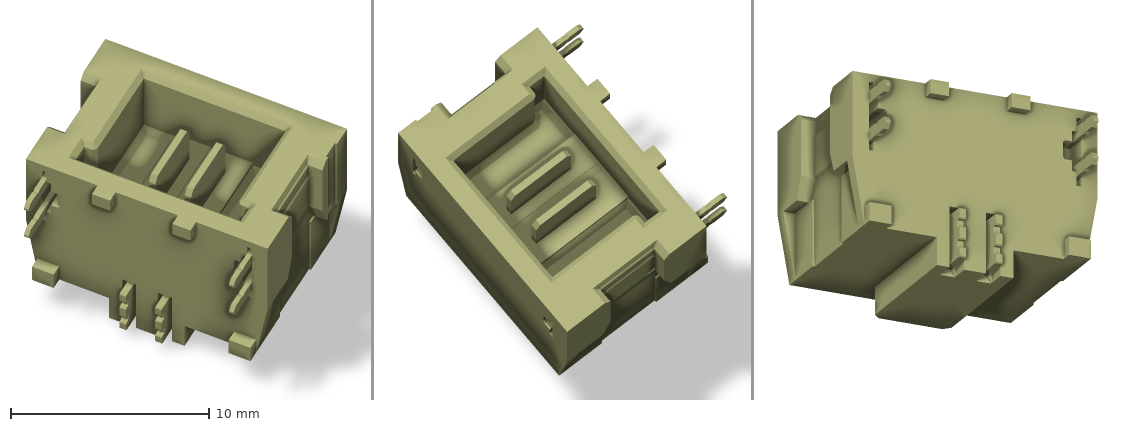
import cadquery as cq

width = 13.6
depth = 9.0
height = 9.75
foot_height = 1.51
foot_width = 4.25
foot_depth = 7.78
foot_corner = 0.35

ledge_z = 5.14
flank_x = 6.15
rib_thickness = 0.67

channel_x = 6.04
notch_x = 6.0
notch_front = 2.73
notch_rear = 6.22
notch_chamfer = 0.35
notch_rim_x = 5.81
rim_foot_rise = 0.08
notch_flare = 0.46
notch_flare_z = 6.31
pad_x = 6.07
pad_bevel_length = 0.65
pad_bottom = 6.42
pad_top = 8.51
pad_slope = 0.16
ramp_top_x = 5.95
ramp_bottom = 5.36
key_depth = 0.12
key_front = 6.85
key_rear = 7.86

cavity_chamfer = 0.29
cavity_front = 1.02
cavity_rear = 7.98
cavity_half = 4.27
wing_half = 4.92
wing_rear = 2.53
wing_corner = 0.26
floor_z = 5.95
pedestal_half = 2.15
pedestal_rise = 0.19
pocket_drop = 0.3
pocket_ledge = 0.1
groove_width = 0.46
groove_depth = 0.05

block_length = 0.64
upper_block_x = 2.26
upper_block_width = 1.02
upper_block_height = 0.76
lower_block_width = 1.22
lower_block_height = 1.0

contact_x = 1.0
contact_thickness = 0.37
contact_bottom = 0.37
tail_top = 3.03
tail_length = 0.71
blade_front = 2.62
blade_rear = 6.5
blade_top = 8.53
blade_tip_run = 0.27
blade_tip_drop = 0.37
tooth_gap = 0.41
tooth_gap_depth = 0.3
tooth_pitch = 1.12
upper_gap_top = 2.45
tooth_chamfer = 0.07
recess_width = 0.8
recess_top = 3.3
recess_depth = 1.0
funnel_depth = 0.14

prong_outer_x = 5.9
prong_inner_x = 5.63
prong_mid_z = 7.45
prong_spacing = 2.03
prong_height = 0.65
prong_length = 2.04
prong_tip_length = 0.25
prong_tip_height = 0.12
waist_start = 0.79
waist_end = 1.14
waist_depth = 0.08
slot_height = 3.7
slot_depth = 1.36

passage_inner_x = 5.39
passage_height = 2.19
bulge_inner_x = 4.87
bulge_height = 1.03
bulge_chamfer = 0.12


def box(x0, x1, y0, y1, z0, z1):
    return cq.Workplane("XY").box(x1 - x0, y1 - y0, z1 - z0, centered=False).translate((x0, y0, z0))


def prism_x(points, x0, x1):
    """Prism along X from an outline of (Y, Z) points."""
    return cq.Workplane("YZ").polyline(points).close().extrude(x1 - x0).translate((x0, 0, 0))


def prism_y(points, y0, y1):
    """Prism along Y from an outline of (X, Z) points."""
    return cq.Workplane("XZ").polyline(points).close().extrude(y0 - y1).translate((0, y0, 0))


def prism_z(points, z0, z1):
    """Prism along Z from an outline of (X, Y) points."""
    return cq.Workplane("XY").polyline(points).close().extrude(z1 - z0).translate((0, 0, z0))


def both_sides(body):
    return body.union(body.mirror("YZ"))


def housing_shell():
    upper = box(-width / 2, width / 2, 0, depth, ledge_z, height)
    lower = box(-flank_x, flank_x, 0, depth, foot_height, ledge_z)
    rib_outline = [
        (-width / 2, ledge_z),
        (width / 2, ledge_z),
        (flank_x, foot_height),
        (-flank_x, foot_height),
    ]
    shell = upper.union(lower)
    for y0 in (0, depth - rib_thickness):
        shell = shell.union(prism_y(rib_outline, y0, y0 + rib_thickness))
    foot = box(-foot_width / 2, foot_width / 2, 0, foot_depth, 0, foot_height)
    foot = foot.edges("|Z and >Y").chamfer(foot_corner)
    return shell.union(foot)


def standoff_blocks():
    upper = box(
        upper_block_x - upper_block_width / 2, upper_block_x + upper_block_width / 2,
        -block_length, 0, height - upper_block_height, height,
    )
    lower = box(
        flank_x - lower_block_width, flank_x, -block_length, 0, foot_height, foot_height + lower_block_height
    )
    return both_sides(upper.union(lower))


def cavity_outline(inset, corner_cut):
    """Cavity plan with side wings at the front, moved inwards by inset."""
    half = cavity_half - inset
    wing = wing_half - inset
    front = cavity_front + inset
    rear = cavity_rear - inset
    step = wing_rear - inset
    right = [(wing, front), (wing, step)]
    if corner_cut:
        right += [(half + corner_cut, step), (half, step + corner_cut)]
    else:
        right += [(half, step)]
    right += [(half, rear)]
    return right + [(-x, y) for x, y in reversed(right)]


def cavity():
    rim = (
        cq.Workplane("XY").workplane(offset=height)
        .polyline(cavity_outline(0, 0)).close().extrude(-cavity_chamfer, taper=45)
    )
    well = prism_z(cavity_outline(cavity_chamfer, wing_corner), floor_z, height - cavity_chamfer)
    return rim.union(well).union(both_sides(floor_pocket())).cut(pedestal())


def pedestal():
    """Raised strip of floor that carries the contacts, with a shallow groove along its middle."""
    top = floor_z + pedestal_rise
    front = cavity_front + cavity_chamfer
    rear = cavity_rear - cavity_chamfer
    strip = box(-pedestal_half, pedestal_half, front, rear, floor_z, top)
    groove = box(
        -groove_width / 2, groove_width / 2, front + pocket_ledge, rear, top - groove_depth, top
    )
    return strip.cut(groove)


def floor_pocket():
    """Sunken floor with sloped sides beside the pedestal that carries the contacts."""
    half = cavity_half - cavity_chamfer
    wing = wing_half - cavity_chamfer
    front = cavity_front + cavity_chamfer + pocket_ledge
    rear = cavity_rear - cavity_chamfer
    step = wing_rear - cavity_chamfer
    outline = [
        (pedestal_half, front),
        (wing, front),
        (wing, step),
        (half + wing_corner, step),
        (half, step + wing_corner),
        (half, rear),
        (pedestal_half, rear),
    ]
    return (
        cq.Workplane("XY").workplane(offset=floor_z)
        .polyline(outline).close().extrude(-pocket_drop, taper=45)
    )


def side_notch():
    """Side notch with a mouth wider at top and bottom, a raised pad on its floor and a channel below."""
    mouth = [
        (notch_front - notch_chamfer, height),
        (notch_front, height - notch_chamfer),
        (notch_front, notch_flare_z),
        (notch_front - notch_flare, ledge_z),
        (notch_rear + notch_flare, ledge_z),
        (notch_rear, notch_flare_z),
        (notch_rear, height - notch_chamfer),
        (notch_rear + notch_chamfer, height),
    ]
    floor_profile = [
        (width / 2, height),
        (notch_rim_x, height),
        (notch_x - rim_foot_rise, height - notch_chamfer),
        (notch_x, height - notch_chamfer - rim_foot_rise),
        (notch_x, pad_top + pad_slope),
        (pad_x, pad_top),
        (pad_x, pad_bottom),
        (ramp_top_x, pad_bottom - pad_slope),
        (channel_x, ramp_bottom),
        (channel_x, ledge_z),
        (width / 2, ledge_z),
    ]
    opening = prism_y(floor_profile, 0, depth).intersect(prism_x(mouth, 0, width / 2))
    channel = box(channel_x, width / 2, notch_front, notch_rear, foot_height, ledge_z)
    return opening.union(channel).union(pad_bevel())


def pad_bevel():
    """Cut that slopes the front end of the raised pad back to the notch floor."""
    plan = [
        (pad_x, notch_front),
        (notch_x, notch_front),
        (pad_x, notch_front + pad_bevel_length),
    ]
    return prism_z(plan, pad_bottom, pad_top)


def prong_slot_and_passage():
    slot = box(
        prong_inner_x, prong_outer_x, 0, slot_depth,
        prong_mid_z - slot_height / 2, prong_mid_z + slot_height / 2,
    )
    passage = box(
        passage_inner_x, prong_inner_x, 0, depth,
        prong_mid_z - passage_height / 2, prong_mid_z + passage_height / 2,
    )
    bulge = box(
        bulge_inner_x, passage_inner_x, 0, depth,
        prong_mid_z - bulge_height / 2, prong_mid_z + bulge_height / 2,
    )
    bulge = bulge.edges("|Y and <X").chamfer(bulge_chamfer)
    return slot.union(passage).union(bulge)


def contact_recess(x):
    """Open-bottomed recess around a contact tail, with a funnel below the tail."""
    half_wide = recess_width / 2
    half_narrow = contact_thickness / 2
    recess = box(x - half_wide, x + half_wide, 0, recess_depth, 0, recess_top)
    funnel_outline = [
        (x - half_wide, 0),
        (x + half_wide, 0),
        (x + half_narrow, contact_bottom),
        (x - half_narrow, contact_bottom),
    ]
    return recess.union(prism_y(funnel_outline, recess_depth, recess_depth + funnel_depth))


def contact(x):
    """Flat L-shaped contact: a blade rising into the cavity and a toothed tail at the front."""
    outline = [
        (-tail_length, contact_bottom),
        (blade_rear, contact_bottom),
        (blade_rear, blade_top - blade_tip_drop),
        (blade_rear - blade_tip_run, blade_top),
        (blade_front + blade_tip_run, blade_top),
        (blade_front, blade_top - blade_tip_drop),
        (blade_front, tail_top),
        (-tail_length, tail_top),
    ]
    x0 = x - contact_thickness / 2
    x1 = x + contact_thickness / 2
    body = prism_x(outline, x0, x1)
    for gap_top in (upper_gap_top, upper_gap_top - tooth_pitch):
        gap = box(x0, x1, -tail_length, tooth_gap_depth - tail_length, gap_top - tooth_gap, gap_top)
        body = body.cut(gap)
    return body.edges("|X and <Y").chamfer(tooth_chamfer)


def prong(side, z):
    """Flat board prong with a pointed tip and a waist on both edges."""
    half = prong_height / 2
    upper = [
        (slot_depth, half),
        (-waist_start, half),
        (-(waist_start + waist_end) / 2, half - waist_depth),
        (-waist_end, half),
        (prong_tip_length - prong_length, half),
        (-prong_length, prong_tip_height / 2),
    ]
    outline = upper + [(y, -dz) for y, dz in reversed(upper)]
    x0, x1 = sorted((side * prong_inner_x, side * prong_outer_x))
    return prism_x(outline, x0, x1).translate((0, 0, z))


contacts = [contact(x) for x in (-contact_x, contact_x)]

prongs = []
for side in (-1, 1):
    for level in (-0.5, 0.5):
        prongs.append(prong(side, prong_mid_z + level * prong_spacing))

housing = housing_shell().union(standoff_blocks())
housing = housing.cut(cavity())
housing = housing.cut(both_sides(side_notch()))
housing = housing.cut(both_sides(prong_slot_and_passage()))
housing = housing.cut(box(width / 2 - key_depth, width / 2, key_front, key_rear, ledge_z, height))
for x in (-contact_x, contact_x):
    housing = housing.cut(contact_recess(x))
for body in contacts:
    housing = housing.cut(body)

result = cq.Compound.makeCompound(
    [housing.val()] + [body.val() for body in contacts] + [body.val() for body in prongs]
)